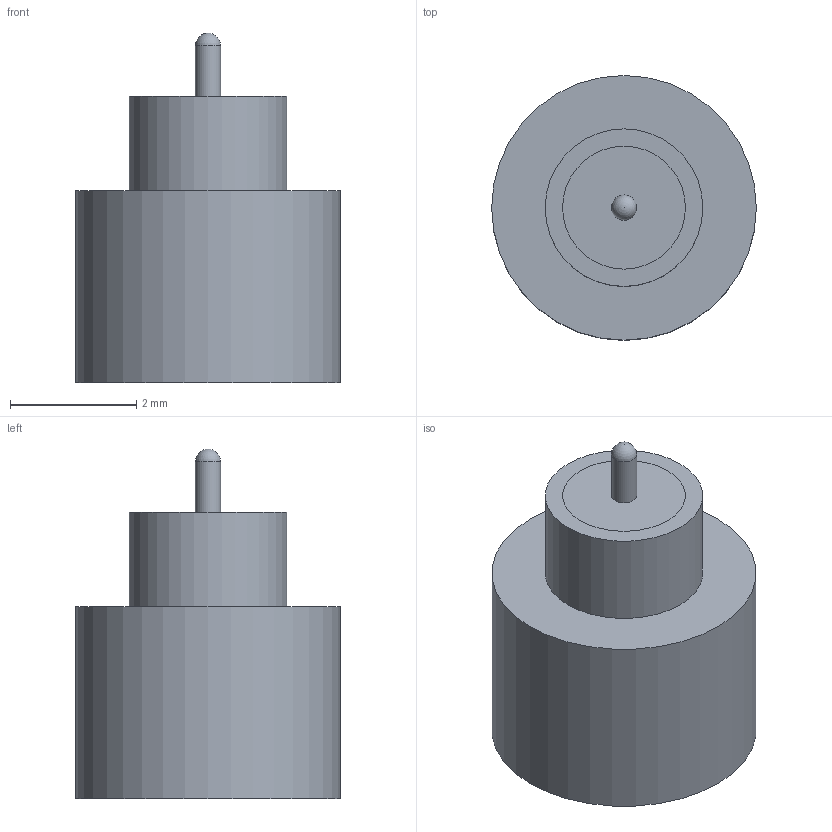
import cadquery as cq
import math

body_diameter = 4.2
body_height = 3.05
collar_diameter = 2.5
collar_height = 1.5
insulator_diameter = 1.95
pin_diameter = 0.4
pin_length = 1.0

body_radius = body_diameter / 2
collar_radius = collar_diameter / 2
insulator_radius = insulator_diameter / 2
pin_radius = pin_diameter / 2

collar_base_z = body_height
collar_top_z = collar_base_z + collar_height
pin_tip_z = collar_top_z + pin_length
dome_base_z = pin_tip_z - pin_radius
dome_mid_offset = pin_radius * math.sin(math.radians(45))


def half_profile():
    """Half section on the -X side of the axis, in the XZ plane.

    The extra point at the insulator radius splits the flat collar top into
    the metal rim and the insulator face, which lie flush with each other.
    """
    return (
        cq.Workplane("XZ")
        .moveTo(0, 0)
        .lineTo(-body_radius, 0)
        .lineTo(-body_radius, collar_base_z)
        .lineTo(-collar_radius, collar_base_z)
        .lineTo(-collar_radius, collar_top_z)
        .lineTo(-insulator_radius, collar_top_z)
        .lineTo(-pin_radius, collar_top_z)
        .lineTo(-pin_radius, dome_base_z)
        .threePointArc(
            (-dome_mid_offset, dome_base_z + dome_mid_offset),
            (0, pin_tip_z),
        )
        .close()
    )


result = half_profile().revolve(360, (0, 0, 0), (0, 1, 0), clean=False)